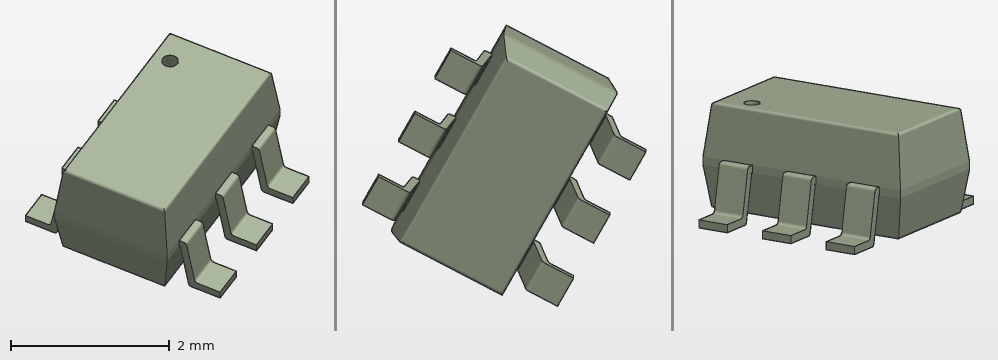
import cadquery as cq
import math

BODY_LENGTH = 2.95
BODY_WIDTH = 1.622
LEAD_SPAN = 2.8
TOP_Z = 1.45

BODY_BOTTOM_Z = 0.07
BAND_TOP_Z = 0.745
DRAFT_INSET = 0.083
BODY_EDGE_RADIUS = 0.04

MARK_DIAMETER = 0.205
MARK_DEPTH = 0.2
MARK_X = -0.48

LEADS_PER_SIDE = 3
LEAD_PITCH = 0.95
LEAD_WIDTH = 0.425
LEAD_THICKNESS = 0.105
SHOULDER_LENGTH = 0.103
LEG_ANGLE = 11.0
BEND_RADIUS = 0.05

BAND_HEIGHT = LEAD_THICKNESS
BAND_BOTTOM_Z = BAND_TOP_Z - BAND_HEIGHT
ROW_START_Y = -LEAD_PITCH * (LEADS_PER_SIDE - 1) / 2
ROW_YS = [ROW_START_Y + i * LEAD_PITCH for i in range(LEADS_PER_SIDE)]


def drafted_half(height):
    """Half of the body, narrowing away from the band; a negative height goes down."""
    draft_angle = math.degrees(math.atan(DRAFT_INSET / abs(height)))
    start_z = BAND_TOP_Z if height > 0 else BAND_BOTTOM_Z
    return (
        cq.Workplane("XY")
        .workplane(offset=start_z)
        .rect(BODY_WIDTH, BODY_LENGTH)
        .extrude(height, taper=draft_angle)
    )


def make_body():
    """Moulded body with rounded top and bottom edges and a blind pin-one mark."""
    band = (
        cq.Workplane("XY")
        .workplane(offset=BAND_BOTTOM_Z)
        .rect(BODY_WIDTH, BODY_LENGTH)
        .extrude(BAND_HEIGHT)
    )
    upper_half = drafted_half(TOP_Z - BAND_TOP_Z)
    lower_half = drafted_half(BODY_BOTTOM_Z - BAND_BOTTOM_Z)
    body = band.union(upper_half).union(lower_half)
    body = body.faces("<Z or >Z").edges().fillet(BODY_EDGE_RADIUS)
    mark = (
        cq.Workplane("XY")
        .workplane(offset=TOP_Z)
        .center(MARK_X, ROW_YS[-1])
        .circle(MARK_DIAMETER / 2)
        .extrude(-MARK_DEPTH)
    )
    return body.cut(mark)


def make_lead(center_y, side):
    """One lead butting against the body band; side is +1 for +X and -1 for -X."""
    body_x = BODY_WIDTH / 2
    tip_x = LEAD_SPAN / 2
    lean = math.radians(LEG_ANGLE)
    corner_shift = LEAD_THICKNESS * math.tan((math.pi / 2 - lean) / 2)
    leg_run = (BAND_TOP_Z - LEAD_THICKNESS) * math.tan(lean)
    upper_bend_x = body_x + SHOULDER_LENGTH
    lower_bend_x = upper_bend_x + leg_run

    shoulder_bend = (upper_bend_x, BAND_TOP_Z)
    foot_top_bend = (lower_bend_x, LEAD_THICKNESS)
    foot_under_bend = (lower_bend_x - corner_shift, 0)
    outline = [
        (body_x, BAND_TOP_Z),
        shoulder_bend,
        foot_top_bend,
        (tip_x, LEAD_THICKNESS),
        (tip_x, 0),
        foot_under_bend,
        (upper_bend_x - corner_shift, BAND_BOTTOM_Z),
        (body_x, BAND_BOTTOM_Z),
    ]
    lead = cq.Workplane("XZ").polyline(outline).close().extrude(LEAD_WIDTH / 2, both=True)

    for x, z in (shoulder_bend, foot_top_bend, foot_under_bend):
        lead = lead.edges(cq.selectors.NearestToPointSelector((x, 0, z))).fillet(BEND_RADIUS)

    if side < 0:
        lead = lead.mirror("YZ")
    return lead.translate((0, center_y, 0))


body = make_body()
leads = [make_lead(y, side) for side in (-1, 1) for y in ROW_YS]

result = cq.Compound.makeCompound([body.val(), *[lead.val() for lead in leads]])